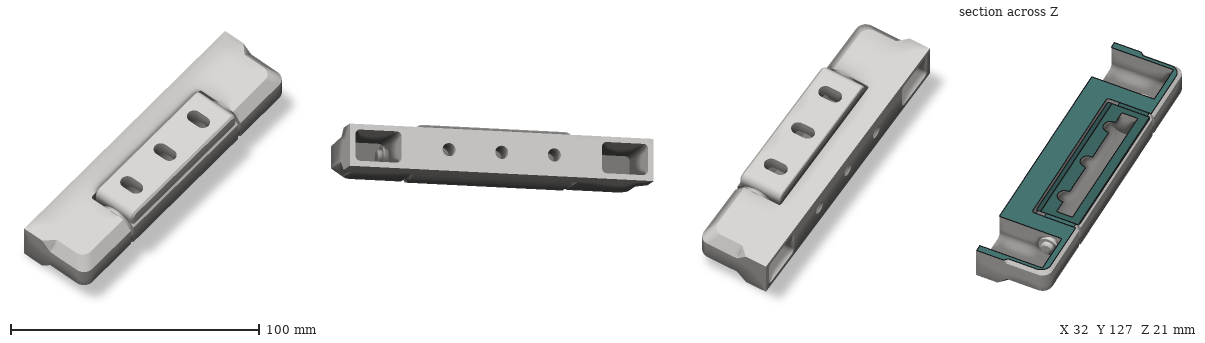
import cadquery as cq
import math

LENGTH = 127.0
DEPTH = 32.0
HEIGHT = 17.3
MID_Z = HEIGHT / 2
CHAMFER = 4.1
END_CHAMFER_START = 9.5
CORNER_RADIUS = 4.4

WINDOW_BACK = 10.9
WINDOW_HALF = 34.6
WINDOW_CORNER = 1.0

POCKET_INNER = 41.9
POCKET_OUTER = 61.1
POCKET_WALL = 2.25
POCKET_DEPTH = 28.0
POCKET_RADIUS = 2.0

BACK_HOLE_DIAMETER = 5.4
BACK_HOLE_PITCH = 22.0
BACK_HOLE_COUNT = 3

CORE_RADIUS = 9.0
CORE_AXIS_X = 20.4
CORE_HALF = 33.0
CORE_WALL = 3.0
CORE_TOP = MID_Z + CORE_RADIUS
CORE_BOTTOM = MID_Z - CORE_RADIUS

TOTAL_HEIGHT = 21.0
PAD_BACK = 11.9
PAD_FRONT = 31.2
PAD_TOP = CORE_BOTTOM + TOTAL_HEIGHT
PAD_BOTTOM = CORE_TOP - (PAD_FRONT - (DEPTH - CHAMFER))
PAD_END_RADIUS = 3.2
PAD_FRONT_CHAMFER = 0.9
PAD_BACK_CHAMFER = 0.4
SLOT_LENGTH = 10.3
SLOT_WIDTH = 5.85
SLOT_CENTER_X = 21.15
SLOT_PITCH = 21.1
SLOT_COUNT = 3

PIVOT_X = DEPTH - CORE_RADIUS
COLLAR_DIAMETER = 7.0
COLLAR_LENGTH = 1.5
FLANGE_DIAMETER = 9.0
FLANGE_LENGTH = 0.9
HEAD_DIAMETER = 6.1
HEAD_LENGTH = 1.8
HEAD_CHAMFER = 0.6

SIDES = (-1, 1)


def box(x0, x1, y0, y1, z0, z1):
    """Box given by its limits along each axis."""
    return cq.Workplane("XY").box(x1 - x0, y1 - y0, z1 - z0, centered=False).translate((x0, y0, z0))


def pivot_cylinder(diameter, length, start, side):
    """Cylinder on the pivot axis that grows outward from Y = start toward the given end."""
    plane = cq.Plane(origin=(PIVOT_X, side * start, MID_Z), xDir=(1, 0, 0), normal=(0, side, 0))
    return cq.Workplane(plane).circle(diameter / 2).extrude(length)


def end_chamfer_cutter():
    """Wedge for the upper +Y edge, with a sloping triangular facet where it starts."""
    start = cq.Vector(END_CHAMFER_START, LENGTH / 2, HEIGHT)
    front = cq.Vector(DEPTH, LENGTH / 2, HEIGHT)
    run_in = cq.Vector(CHAMFER, 0, 0)
    inward = cq.Vector(0, -CHAMFER, 0)
    down = cq.Vector(0, 0, -CHAMFER)
    start_top = start + run_in + inward
    start_end = start + run_in + down
    front_top = front + inward
    front_end = front + down
    outlines = (
        (start, start_top, front_top, front),
        (start, front, front_end, start_end),
        (start, start_end, start_top),
        (start_top, start_end, front_end, front_top),
        (front, front_top, front_end),
    )
    faces = [cq.Face.makeFromWires(cq.Wire.makePolygon(points, close=True)) for points in outlines]
    return cq.Workplane(obj=cq.Solid.makeSolid(cq.Shell.makeShell(faces)))


def corner_prism(base_z, direction):
    """Waste outside a rounded +Y front corner, swept from base_z along a straight direction."""
    center_x = DEPTH - CORNER_RADIUS
    center_y = LENGTH / 2 - CORNER_RADIUS
    square = box(center_x, DEPTH, center_y, LENGTH / 2, base_z, HEIGHT)
    cylinder = (
        cq.Workplane("XY", origin=(center_x, center_y, base_z))
        .circle(CORNER_RADIUS)
        .extrude(HEIGHT)
    )
    outline = square.cut(cylinder).faces("<Z").wires().val()
    return cq.Workplane(obj=cq.Solid.extrudeLinear(outline, [], cq.Vector(*direction)))


def front_corner_cutter():
    """Rounding of the +Y front corner, along the upright edge and the ridges where chamfers meet."""
    lower_z = CHAMFER
    upper_z = HEIGHT - CHAMFER
    upright = corner_prism(lower_z, (0, 0, upper_z - lower_z))
    upper_ridge = corner_prism(upper_z, (-CHAMFER, -CHAMFER, CHAMFER))
    lower_ridge = corner_prism(lower_z, (-CHAMFER, -CHAMFER, -CHAMFER))
    return upright.union(upper_ridge).union(lower_ridge)


def make_housing():
    body = box(0, DEPTH, -LENGTH / 2, LENGTH / 2, 0, HEIGHT)
    body = body.faces(">X").edges("|Y").chamfer(CHAMFER)
    upper_end = end_chamfer_cutter()
    both_edges = upper_end.union(upper_end.mirror("XY", (0, 0, MID_Z)))
    body = body.cut(both_edges).cut(both_edges.mirror("XZ"))

    corner = front_corner_cutter()
    body = body.cut(corner).cut(corner.mirror("XZ"))

    window = box(WINDOW_BACK, DEPTH, -WINDOW_HALF, WINDOW_HALF, 0, HEIGHT)
    body = body.cut(window.edges("|Z and <X").fillet(WINDOW_CORNER))

    pocket = box(0, POCKET_DEPTH, POCKET_INNER, POCKET_OUTER, POCKET_WALL, HEIGHT - POCKET_WALL)
    pocket = pocket.edges("|X").fillet(POCKET_RADIUS)
    body = body.cut(pocket).cut(pocket.mirror("XZ"))

    holes = (
        cq.Workplane("YZ", origin=(0, 0, MID_Z))
        .rarray(BACK_HOLE_PITCH, 1, BACK_HOLE_COUNT, 1)
        .circle(BACK_HOLE_DIAMETER / 2)
        .extrude(WINDOW_BACK)
    )
    return body.cut(holes)


def core_bar(inset):
    """Solid bar with the core's outline, moved inward on every side by the inset."""
    radius = CORE_RADIUS - inset
    half_length = CORE_HALF - inset
    front = DEPTH - inset
    chamfer = CHAMFER - inset * (2 - math.sqrt(2))
    front_flat = front - chamfer
    top = MID_Z + radius
    bottom = MID_Z - radius
    diagonal = radius * math.sqrt(0.5)
    return (
        cq.Workplane("XZ", origin=(0, half_length, 0))
        .moveTo(CORE_AXIS_X, bottom)
        .lineTo(front_flat, bottom)
        .lineTo(front, bottom + chamfer)
        .lineTo(front, top - chamfer)
        .lineTo(front_flat, top)
        .lineTo(CORE_AXIS_X, top)
        .threePointArc((CORE_AXIS_X - diagonal, MID_Z + diagonal), (CORE_AXIS_X - radius, MID_Z))
        .threePointArc((CORE_AXIS_X - diagonal, MID_Z - diagonal), (CORE_AXIS_X, bottom))
        .close()
        .extrude(2 * half_length)
    )


def slot_cutters():
    """Row of slots that runs from the top of the pad down into the core's cavity."""
    return (
        cq.Workplane("XY", origin=(SLOT_CENTER_X, 0, MID_Z))
        .rarray(1, SLOT_PITCH, 1, SLOT_COUNT)
        .slot2D(SLOT_LENGTH, SLOT_WIDTH)
        .extrude(PAD_TOP - MID_Z)
    )


def make_core():
    return core_bar(0).cut(core_bar(CORE_WALL)).cut(slot_cutters())


def make_pad():
    pad = box(PAD_BACK, PAD_FRONT, -CORE_HALF, CORE_HALF, PAD_BOTTOM, PAD_TOP)
    pad = pad.faces(">Z").edges("|X").fillet(PAD_END_RADIUS)
    pad = pad.faces(">Z").edges(">X").chamfer(PAD_FRONT_CHAMFER)
    pad = pad.faces(">Z").edges("<X").chamfer(PAD_BACK_CHAMFER)
    return pad.cut(slot_cutters()).cut(core_bar(0))


def make_end_disc(side):
    """Round plate that fills the gap between the core and one end of the window."""
    return pivot_cylinder(2 * CORE_RADIUS, WINDOW_HALF - CORE_HALF, CORE_HALF, side)


def make_stud(side):
    """Flanged stud standing on the inner wall of a pocket."""
    flange_start = POCKET_INNER + COLLAR_LENGTH
    head_start = flange_start + FLANGE_LENGTH
    collar = pivot_cylinder(COLLAR_DIAMETER, COLLAR_LENGTH, POCKET_INNER, side)
    flange = pivot_cylinder(FLANGE_DIAMETER, FLANGE_LENGTH, flange_start, side)
    head = pivot_cylinder(HEAD_DIAMETER, HEAD_LENGTH, head_start, side)
    outer_face = ">Y" if side > 0 else "<Y"
    return collar.union(flange).union(head.faces(outer_face).chamfer(HEAD_CHAMFER))


housing = make_housing()
core = make_core()
pad = make_pad()
end_discs = [make_end_disc(side) for side in SIDES]
studs = [make_stud(side) for side in SIDES]

bodies = [housing, core, pad, *end_discs, *studs]
result = cq.Compound.makeCompound([body.val() for body in bodies])